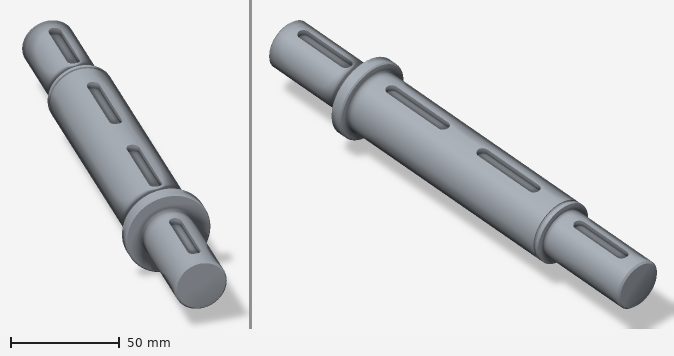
import cadquery as cq

total_length = 232.0
left_journal_length = 50.0
right_journal_length = 49.7
journal_diameter = 25.3
body_diameter = 32.0
end_chamfer = 1.0

collar_diameter = 41.0
collar_width = 6.5
collar_chamfer = 0.7
root_fillet = 1.0

groove_offset = 1.9
groove_width = 1.5
groove_depth = 0.7

key_width = 6.0
key_depth = 3.5
journal_key_length = 33.9
body_key_length = 40.0
left_key_center = 24.8
right_key_center = 207.2
body_key_centers = (85.9, 146.0)

left_end = -total_length / 2
body_start = left_end + left_journal_length
collar_end = left_end + total_length - right_journal_length
collar_start = collar_end - collar_width


def cylinder(start, length, diameter):
    """Cylinder on the shaft axis, running in +X from start."""
    return cq.Workplane("YZ", origin=(start, 0, 0)).circle(diameter / 2).extrude(length)


def keyway(center, length, shaft_diameter):
    """Cutter for a round-ended keyway; center is measured from the left end."""
    floor = shaft_diameter / 2 - key_depth
    return (
        cq.Workplane("XY", origin=(left_end + center, 0, floor))
        .slot2D(length, key_width)
        .extrude(shaft_diameter)
    )


shaft = cylinder(left_end, total_length, journal_diameter).edges("%CIRCLE").chamfer(end_chamfer)
shaft = shaft.union(cylinder(body_start, collar_start - body_start, body_diameter))

collar = cylinder(collar_start, collar_width, collar_diameter).edges("%CIRCLE").chamfer(collar_chamfer)
shaft = shaft.union(collar)
for root_position, root_diameter in ((collar_start, body_diameter), (collar_end, journal_diameter)):
    root_edge = cq.selectors.BoxSelector(
        (root_position - root_fillet / 2, -root_diameter, -root_diameter),
        (root_position + root_fillet / 2, root_diameter, root_diameter),
    )
    shaft = shaft.edges(root_edge).edges(cq.selectors.RadiusNthSelector(0)).fillet(root_fillet)

groove_start = body_start + groove_offset
groove = cylinder(groove_start, groove_width, collar_diameter).cut(
    cylinder(groove_start, groove_width, body_diameter - 2 * groove_depth)
)
shaft = shaft.cut(groove)

for key_center in (left_key_center, right_key_center):
    shaft = shaft.cut(keyway(key_center, journal_key_length, journal_diameter))
for key_center in body_key_centers:
    shaft = shaft.cut(keyway(key_center, body_key_length, body_diameter))

result = shaft